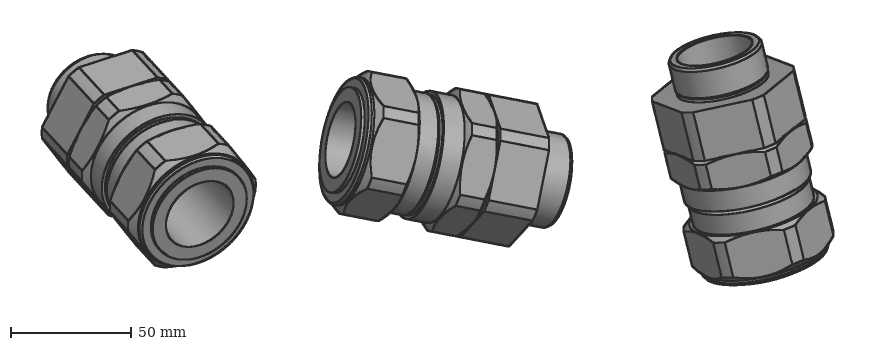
import cadquery as cq
import math

TIP_X = 0.0
THREAD_CHAMFER_X = 1.3
THREAD_END_X = 13.1
NECK_BOTTOM_X = 14.3
BODY_HEX_X = 15.15
MIDDLE_NUT_X = 37.1
COLLAR_X = 51.9
COLLAR_END_X = 61.3
GROOVE_BOTTOM_X = 62.1
RING_X = 63.3
BACK_NUT_X = 72.3
WASHER_X = 92.6
WASHER_CHAMFER_X = 93.8
TAIL_X = 95.0
TAIL_END_X = 96.5

THREAD_RADIUS = 19.9
THREAD_TIP_RADIUS = 19.0
COLLAR_RADIUS = 27.1
RING_RADIUS = 25.9
TAIL_RADIUS = 22.3
BORE_RADIUS = 16.0
BORE_CHAMFER = 0.2
WASHER_CHAMFER = 0.8

ACROSS_FLATS = 55.0
ACROSS_CORNERS = 60.5
CORNER_RADIUS = ACROSS_CORNERS / 2

NUT_FRONT_RADIUS = 27.4
NUT_FRONT_CHAMFER = 1.7
MIDDLE_NUT_BACK_CHAMFER = 2.0
BACK_NUT_BACK_CHAMFER = 2.9


def turned(profile):
    """Revolve (x, radius) points, closed down to the X axis, about that axis."""
    first_x = profile[0][0]
    last_x = profile[-1][0]
    outline = [(first_x, 0.0)] + profile + [(last_x, 0.0)]
    return cq.Workplane("XY").polyline(outline).close().revolve(360, (0, 0, 0), (1, 0, 0))


def hexagon(start_x, end_x):
    """Hexagonal prism along X with its corners on +Y and -Y."""
    sharp_diameter = ACROSS_FLATS / math.cos(math.pi / 6)
    plane = cq.Workplane("YZ").workplane(offset=start_x)
    return plane.polygon(6, sharp_diameter).extrude(end_x - start_x)


def body_hex():
    envelope = turned([(BODY_HEX_X, CORNER_RADIUS), (MIDDLE_NUT_X, CORNER_RADIUS)])
    return hexagon(BODY_HEX_X, MIDDLE_NUT_X).intersect(envelope)


def nut(start_x, end_x, back_chamfer):
    """Round-cornered hexagon with a conical chamfer at each end."""
    envelope = turned([
        (start_x, NUT_FRONT_RADIUS),
        (start_x + NUT_FRONT_CHAMFER, CORNER_RADIUS),
        (end_x - back_chamfer, CORNER_RADIUS),
        (end_x, COLLAR_RADIUS),
    ])
    return hexagon(start_x, end_x).intersect(envelope)


def core():
    """Threaded end, collar, ring, washer and tail as one turned body.

    The undercut and the groove are V shaped with 45 degree walls.
    """
    neck_radius = THREAD_RADIUS - (NECK_BOTTOM_X - THREAD_END_X)
    groove_radius = RING_RADIUS - (RING_X - GROOVE_BOTTOM_X)
    return turned([
        (TIP_X, THREAD_TIP_RADIUS),
        (THREAD_CHAMFER_X, THREAD_RADIUS),
        (THREAD_END_X, THREAD_RADIUS),
        (NECK_BOTTOM_X, neck_radius),
        (BODY_HEX_X, neck_radius + BODY_HEX_X - NECK_BOTTOM_X),
        (COLLAR_X, neck_radius + BODY_HEX_X - NECK_BOTTOM_X),
        (COLLAR_X, COLLAR_RADIUS),
        (COLLAR_END_X, COLLAR_RADIUS),
        (COLLAR_END_X, groove_radius + GROOVE_BOTTOM_X - COLLAR_END_X),
        (GROOVE_BOTTOM_X, groove_radius),
        (RING_X, RING_RADIUS),
        (WASHER_X, RING_RADIUS),
        (WASHER_X, COLLAR_RADIUS),
        (WASHER_CHAMFER_X, COLLAR_RADIUS),
        (TAIL_X, COLLAR_RADIUS - WASHER_CHAMFER),
        (TAIL_X, TAIL_RADIUS),
        (TAIL_END_X, TAIL_RADIUS),
    ])


def bore():
    """Through bore with a small chamfer at the threaded tip."""
    return turned([
        (TIP_X, BORE_RADIUS + BORE_CHAMFER),
        (TIP_X + BORE_CHAMFER, BORE_RADIUS),
        (TAIL_END_X, BORE_RADIUS),
    ])


result = (
    core()
    .union(body_hex())
    .union(nut(MIDDLE_NUT_X, COLLAR_X, MIDDLE_NUT_BACK_CHAMFER))
    .union(nut(BACK_NUT_X, WASHER_X, BACK_NUT_BACK_CHAMFER))
    .cut(bore())
)